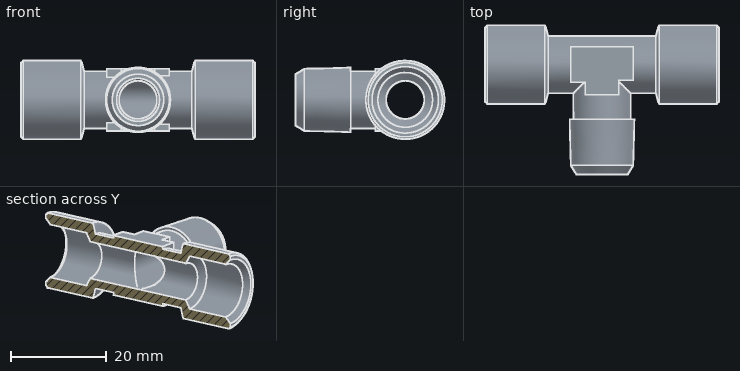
import cadquery as cq

run_half_length = 24.5
pipe_radius = 6.05
bore_radius = 3.95
socket_diameter = 16.5
socket_radius = socket_diameter / 2
socket_length = 13.25
socket_rim_chamfer = 0.5
shoulder_chamfer_length = 0.3
shoulder_chamfer_drop = 0.5
shoulder_cone_length = 0.45

thread_bore_radius = 5.75
countersink_radius = 6.95
countersink_depth = countersink_radius - thread_bore_radius
thread_bore_depth = 10.8
drill_point_length = 1.05

overall_depth = 31.25
branch_length = overall_depth - socket_radius
thread_start = 11.4
thread_root_radius = 6.8
thread_tip_radius = 6.55
nose_length = 1.9
nose_radius = 5.4
branch_bore_chamfer = 0.55

pad_half_width = 6.55
pad_half_height = 6.55
pad_back = 3.7
pad_left_notch = -3.7
pad_right_notch = -3.25
tab_half_width = 3.5
tab_front = -6.3


def revolve_about_x(profile):
    """Turn an (axial, radial) profile around the X axis."""
    return cq.Workplane("XY").polyline(profile).close().revolve(360, (0, 0, 0), (1, 0, 0))


def revolve_about_branch(profile):
    """Turn a (distance from junction, radius) profile around the -Y branch axis."""
    points = [(radius, -distance) for distance, radius in profile]
    return cq.Workplane("XY").polyline(points).close().revolve(360, (0, 0, 0), (0, 1, 0))


def half_run_body():
    """Solid +X half of the run, with its socket."""
    socket_start = run_half_length - socket_length
    cone_end = socket_start + shoulder_cone_length
    return revolve_about_x([
        (0, 0),
        (0, pipe_radius),
        (socket_start, pipe_radius),
        (cone_end, socket_radius - shoulder_chamfer_drop),
        (cone_end + shoulder_chamfer_length, socket_radius),
        (run_half_length - socket_rim_chamfer, socket_radius),
        (run_half_length, socket_radius - socket_rim_chamfer),
        (run_half_length, 0),
    ])


def half_run_bore():
    """Through bore, threaded bore and countersink of the +X half."""
    bore_floor = run_half_length - thread_bore_depth
    return revolve_about_x([
        (0, 0),
        (0, bore_radius),
        (bore_floor - drill_point_length, bore_radius),
        (bore_floor, thread_bore_radius),
        (run_half_length - countersink_depth, thread_bore_radius),
        (run_half_length, countersink_radius),
        (run_half_length, 0),
    ])


def branch_body():
    """Branch neck, tapered male thread and conical nose."""
    return revolve_about_branch([
        (0, 0),
        (0, pipe_radius),
        (thread_start, pipe_radius),
        (thread_start, thread_root_radius),
        (branch_length - nose_length, thread_tip_radius),
        (branch_length, nose_radius),
        (branch_length, 0),
    ])


def branch_bore():
    """Branch bore with a chamfered mouth, opening into the run bore."""
    return revolve_about_branch([
        (0, 0),
        (0, bore_radius),
        (branch_length - branch_bore_chamfer, bore_radius),
        (branch_length, bore_radius + branch_bore_chamfer),
        (branch_length, 0),
    ])


def junction_pads():
    """T-shaped block whose ends stand out as flat pads above and below the pipes."""
    outline = [
        (-pad_half_width, pad_back),
        (pad_half_width, pad_back),
        (pad_half_width, pad_right_notch),
        (tab_half_width, pad_right_notch),
        (tab_half_width, tab_front),
        (-tab_half_width, tab_front),
        (-tab_half_width, pad_left_notch),
        (-pad_half_width, pad_left_notch),
    ]
    return cq.Workplane("XY").polyline(outline).close().extrude(pad_half_height, both=True)


right_body = half_run_body()
right_bore = half_run_bore()

body = right_body.union(right_body.mirror("YZ")).union(branch_body()).union(junction_pads())
result = body.cut(right_bore).cut(right_bore.mirror("YZ")).cut(branch_bore())